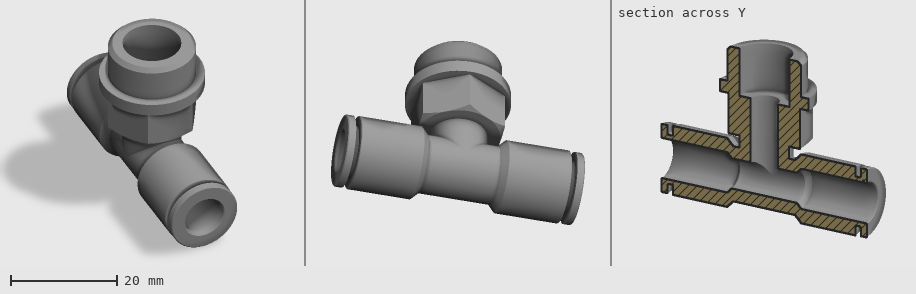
import cadquery as cq
import math

overall_length = 46.0
collar_length = 1.45
groove_width = 1.05
body_inner_end = 8.3
body_diameter = 14.0
collar_diameter = 13.8
groove_diameter = 10.0
neck_diameter = 11.2
body_edge_chamfer = 0.15
collar_edge_chamfer = 0.2
groove_flare = 0.2

tube_bore_diameter = 8.0
tube_mouth_chamfer = 0.2
passage_diameter = 6.0
stud_bore_diameter = 11.1

hex_bottom = 7.9
flange_bottom = 16.0
flange_top = 18.5
stud_top = 25.55
hex_across_flats = 16.0
flange_diameter = 20.0
stud_diameter = 16.65
stud_chamfer = 0.85
hex_chamfer_angle = 30.0
hex_half_sector = 30.0

run_end = overall_length / 2
collar_inner_end = run_end - collar_length
body_outer_end = collar_inner_end - groove_width
shoulder_inner_end = body_inner_end - (body_diameter - neck_diameter) / 2


def x_cylinder(diameter, start, end):
    return cq.Workplane("YZ", origin=(start, 0, 0)).circle(diameter / 2).extrude(end - start)


def z_cylinder(diameter, bottom, top):
    return cq.Workplane("XY", origin=(0, 0, bottom)).circle(diameter / 2).extrude(top - bottom)


def revolve_about_x(profile):
    return cq.Workplane("XY").polyline(profile).close().revolve(360, (0, 0, 0), (1, 0, 0))


def make_push_in_end():
    """Solid +X socket: sloped shoulder, body, flared groove and release collar."""
    body = x_cylinder(body_diameter, shoulder_inner_end, body_outer_end)
    body = body.faces(">X").chamfer(body_edge_chamfer)
    body = body.faces("<X").chamfer(body_inner_end - shoulder_inner_end)
    groove = x_cylinder(groove_diameter, body_outer_end, collar_inner_end)
    groove_radius = groove_diameter / 2
    flare = revolve_about_x([
        (collar_inner_end - groove_flare, 0),
        (collar_inner_end - groove_flare, groove_radius),
        (collar_inner_end, groove_radius + groove_flare),
        (collar_inner_end, 0),
    ])
    collar = x_cylinder(collar_diameter, collar_inner_end, run_end)
    collar = collar.faces(">X").chamfer(collar_edge_chamfer)
    return body.union(groove).union(flare).union(collar)


def make_tube_bore():
    """Tube socket in the +X end, coned down to the passage and flared at its mouth."""
    bore_radius = tube_bore_diameter / 2
    passage_radius = passage_diameter / 2
    cone_end = body_inner_end - (bore_radius - passage_radius)
    return revolve_about_x([
        (cone_end, 0),
        (cone_end, passage_radius),
        (body_inner_end, bore_radius),
        (run_end - tube_mouth_chamfer, bore_radius),
        (run_end, bore_radius + tube_mouth_chamfer),
        (run_end, 0),
    ])


def make_hexagon():
    """Hexagon with flats facing +X and -X and its lower corners turned to a cone."""
    corner_diameter = hex_across_flats / math.cos(math.radians(hex_half_sector))
    hexagon = (
        cq.Workplane("XY", origin=(0, 0, hex_bottom))
        .transformed(rotate=(0, 0, hex_half_sector))
        .polygon(6, corner_diameter)
        .extrude(flange_bottom - hex_bottom)
    )
    corner_radius = corner_diameter / 2
    flat_radius = hex_across_flats / 2
    cone_height = (corner_radius - flat_radius) * math.tan(math.radians(hex_chamfer_angle))
    turning_envelope = (
        cq.Workplane("XZ")
        .polyline([
            (0, hex_bottom),
            (flat_radius, hex_bottom),
            (corner_radius, hex_bottom + cone_height),
            (corner_radius, flange_bottom),
            (0, flange_bottom),
        ])
        .close()
        .revolve(360, (0, 0, 0), (0, 1, 0))
    )
    return hexagon.intersect(turning_envelope)


def make_stud():
    flange = z_cylinder(flange_diameter, flange_bottom, flange_top)
    spigot = z_cylinder(stud_diameter, flange_top, stud_top).faces(">Z").chamfer(stud_chamfer)
    return make_hexagon().union(flange).union(spigot)


def make_neck_tee():
    """Equal run and branch necks, mitred where they cross."""
    run_neck = x_cylinder(neck_diameter, -shoulder_inner_end, shoulder_inner_end)
    return run_neck.union(z_cylinder(neck_diameter, 0, hex_bottom))


push_in_end = make_push_in_end()
tube_bore = make_tube_bore()

result = make_neck_tee().union(make_stud())
for end in (push_in_end, push_in_end.mirror("YZ")):
    result = result.union(end)

result = result.cut(x_cylinder(passage_diameter, -run_end, run_end))
result = result.cut(z_cylinder(passage_diameter, 0, stud_top))
result = result.cut(z_cylinder(stud_bore_diameter, flange_bottom, stud_top))
for bore in (tube_bore, tube_bore.mirror("YZ")):
    result = result.cut(bore)